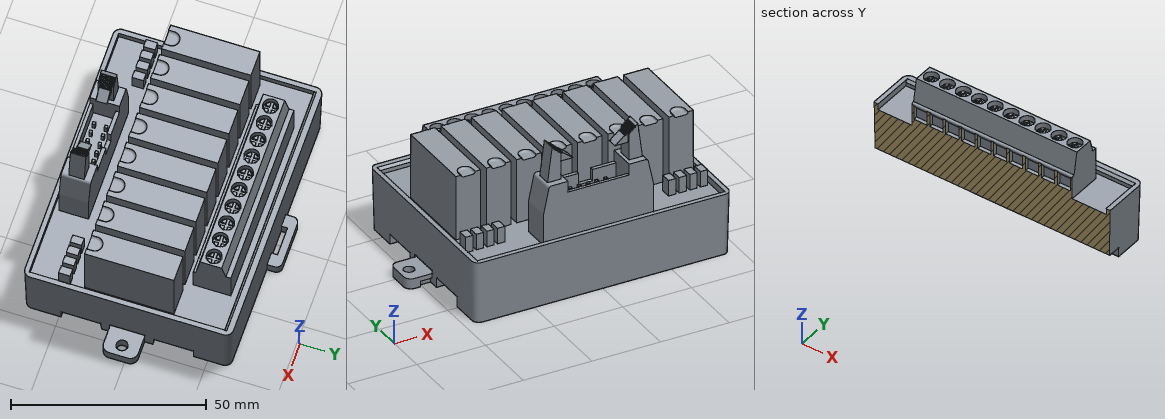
import cadquery as cq
import math

HOUSING_LENGTH = 74.9
HOUSING_WIDTH = 56.2
HOUSING_HEIGHT = 18.0
WALL_DRAFT = 0.35
CORNER_RADIUS = 2.0
TRAY_DEPTH = 1.9
TRAY_LENGTH = 72.1
TRAY_FRONT = -26.8
TRAY_BACK = 25.8
TRAY_LEAD_IN = 0.7
FLOOR_Z = HOUSING_HEIGHT - TRAY_DEPTH

BASE_THICKNESS = 3.0
CHANNEL_OUTER = 17.8
CHANNEL_INNER_TOP = 7.2
CHANNEL_INNER_BOTTOM = 6.9
TOTAL_LENGTH = 88.6
EAR_WIDTH = 9.4
EAR_CORNER = 2.1
EAR_HOLE_DIAMETER = 3.0
EAR_HOLE_X = 41.3
EAR_POCKET_X = 40.5
EAR_POCKET_HEIGHT = 1.7
EAR_POCKET_DEPTH = 0.9
EAR_RELIEF = 0.8
CLIP_WIDTH = 15.15
CLIP_END_Y = 31.45
CLIP_CORNER = 1.7
CLIP_SLOT_LENGTH = 8.1
CLIP_SLOT_END_Y = 29.4
BACK_HOOK_REACH = 1.9
BACK_HOOK_HEIGHT = 1.9
FRONT_HOOK_REACH = 2.7
FRONT_HOOK_TOP = 1.6
FRONT_HOOK_TIP = 0.8

RELAY_COUNT = 8
RELAY_PITCH = 8.9
RELAY_ROW_X = 0.3
RELAY_LENGTH = 7.2
RELAY_FRONT = -12.2
RELAY_BACK = 11.9
RELAY_TOP = 34.9
NOTCH_DIAMETER = 4.1
NOTCH_DEPTH = 0.7
NOTCH_CENTRE = 1.6

POLE_COUNT = 10
POLE_PITCH = 5.05
TERMINAL_LENGTH = 50.8
TERMINAL_TOP = 30.1
TERMINAL_BACK_STEP_Z = 26.05
TERMINAL_FRONT_STEP_Z = 23.4
TERMINAL_BACK = 24.0
TERMINAL_BACK_SHOULDER = 22.7
TERMINAL_TOP_BACK = 21.5
TERMINAL_TOP_FRONT = 15.8
TERMINAL_FRONT_SHOULDER = 14.5
TERMINAL_FRONT = 13.8
TERMINAL_FRONT_ROUND = 0.5
SCREW_Y = 18.6
SCREW_HOLE_DIAMETER = 4.1
SCREW_HOLE_DEPTH = 1.8
SCREW_HEAD_DIAMETER = 3.3
SCREW_HEAD_HEIGHT = 0.5
SCREW_SLOT_WIDTH = 0.8
WIRE_PORT_WIDTH = 4.0
WIRE_PORT_DEPTH = 1.1
WIRE_PORT_BOTTOM = 18.4
WIRE_PORT_TOP = 22.8
WIRE_PORT_INNER_TOP = 21.35

LAMPS_PER_GROUP = 4
LAMP_PITCH = 3.1
LAMP_INNERMOST_X = 24.9
LAMP_LENGTH = 2.1
LAMP_WIDTH = 3.1
LAMP_Y = -17.5
LAMP_TOP = 20.7

CONNECTOR_Y = -21.4
CONNECTOR_WIDTH = 8.0
CONNECTOR_HALF_BASE = 16.0
CONNECTOR_HALF_TOP = 14.35
CONNECTOR_TOP = 33.1
CONNECTOR_SLOPE_Z = 25.25
CONNECTOR_ROUND = 0.9
CAVITY_LENGTH = 17.8
CAVITY_FRONT = -24.5
CAVITY_BACK = -18.5
CAVITY_RIM_Z = 29.95
CAVITY_FLOOR_Z = 25.25
KEY_WIDTH = 4.1
KEY_FLOOR_Z = 26.6
CONTACT_COLUMNS = 5
CONTACT_PITCH = 2.6
CONTACT_ROW_SPACING = 3.3
CONTACT_SIZE = 0.8
CONTACT_TOP = 27.3

LATCH_WIDTH = 4.2
LATCH_TOP = 43.2
LATCH_FOOT_X = -13.8
LATCH_TIP_X = -12.5
LATCH_INNER_X = -9.9
HOOK_WIDTH = 3.0
HOOK_TIP_X = -6.1
HOOK_Z = 38.1
TOOTH_COUNT = 8
TOOTH_PITCH = 0.35
TOOTH_DEPTH = 0.35
FIRST_TOOTH_X = -11.8


def block(x_min, x_max, y_min, y_max, z_min, z_max):
    """Rectangular block between the given limits."""
    size = (x_max - x_min, y_max - y_min, z_max - z_min)
    return cq.Workplane("XY").box(*size, centered=False).translate((x_min, y_min, z_min))


def along_x(points, length):
    """Prism with a (y, z) outline, centred on X = 0."""
    return cq.Workplane("YZ").polyline(points).close().extrude(length / 2, both=True)


def along_y(points, y_centre, width):
    """Prism with an (x, z) outline, centred on y_centre."""
    prism = cq.Workplane("XZ").polyline(points).close().extrude(width / 2, both=True)
    return prism.translate((0, y_centre, 0))


def spread(count, pitch):
    """Positions of count items at an even pitch, centred on zero."""
    return [(i - (count - 1) / 2) * pitch for i in range(count)]


def both_ends(half):
    """The given half joined to its mirror image across X = 0."""
    return half.union(half.mirror("YZ"))


def shell():
    draft_angle = math.degrees(math.atan(WALL_DRAFT / HOUSING_HEIGHT))
    body = (
        cq.Workplane("XY", origin=(0, 0, HOUSING_HEIGHT))
        .rect(HOUSING_LENGTH, HOUSING_WIDTH)
        .extrude(-HOUSING_HEIGHT, taper=draft_angle)
        .edges("not (<Z or >Z)")
        .fillet(CORNER_RADIUS)
    )
    tray_outline = [
        (TRAY_FRONT, FLOOR_Z),
        (TRAY_BACK, FLOOR_Z),
        (TRAY_BACK, HOUSING_HEIGHT - TRAY_LEAD_IN),
        (TRAY_BACK + TRAY_LEAD_IN, HOUSING_HEIGHT),
        (TRAY_FRONT, HOUSING_HEIGHT),
    ]
    return body.cut(along_x(tray_outline, TRAY_LENGTH))


def rail_channels():
    channel = along_x(
        [
            (CHANNEL_OUTER, 0),
            (CHANNEL_OUTER, BASE_THICKNESS),
            (CHANNEL_INNER_TOP, BASE_THICKNESS),
            (CHANNEL_INNER_BOTTOM, 0),
        ],
        HOUSING_LENGTH,
    )
    return channel.union(channel.mirror("XZ"))


def rail_hooks():
    back_hook = along_x(
        [
            (CHANNEL_OUTER, 0),
            (CHANNEL_OUTER, BACK_HOOK_HEIGHT),
            (CHANNEL_OUTER - BACK_HOOK_REACH, BACK_HOOK_HEIGHT),
            (CHANNEL_OUTER - BACK_HOOK_REACH, BACK_HOOK_HEIGHT / 2),
            (CHANNEL_OUTER - BACK_HOOK_REACH / 2, 0),
        ],
        CLIP_WIDTH,
    )
    front_hook = along_x(
        [
            (-CHANNEL_OUTER, 0),
            (-CHANNEL_OUTER, FRONT_HOOK_TOP),
            (FRONT_HOOK_REACH - CHANNEL_OUTER, FRONT_HOOK_TOP),
            (FRONT_HOOK_REACH - CHANNEL_OUTER, FRONT_HOOK_TIP),
        ],
        CLIP_WIDTH,
    )
    return back_hook.union(front_hook)


def ear():
    """Screw ear at the -X end, with a pocket in its front side."""
    inner_x = -HOUSING_LENGTH / 2 + EAR_RELIEF
    half_width = EAR_WIDTH / 2
    plate = block(-TOTAL_LENGTH / 2, inner_x, -half_width, half_width, 0, BASE_THICKNESS)
    plate = plate.edges("|Z and <X").fillet(EAR_CORNER)
    hole = cq.Workplane("XY").circle(EAR_HOLE_DIAMETER / 2).extrude(BASE_THICKNESS)
    pocket = block(
        -EAR_POCKET_X, -HOUSING_LENGTH / 2 + WALL_DRAFT,
        -half_width, -half_width + EAR_POCKET_DEPTH,
        0, EAR_POCKET_HEIGHT,
    )
    return plate.cut(hole.translate((-EAR_HOLE_X, 0, 0))).cut(pocket)


def ear_relief():
    """Sloping recess in the -X wall just above the ear."""
    wall_x = -HOUSING_LENGTH / 2
    inner_x = wall_x + WALL_DRAFT + EAR_RELIEF
    outline = [
        (wall_x, BASE_THICKNESS),
        (inner_x, BASE_THICKNESS),
        (inner_x - EAR_RELIEF, BASE_THICKNESS + EAR_RELIEF),
        (wall_x, BASE_THICKNESS + EAR_RELIEF),
    ]
    return along_y(outline, 0, EAR_WIDTH)


def clip_tab():
    """Slotted tab behind the back wall."""
    wall_y = HOUSING_WIDTH / 2 - WALL_DRAFT
    half_width = CLIP_WIDTH / 2
    half_slot = CLIP_SLOT_LENGTH / 2
    tab = block(-half_width, half_width, wall_y - WALL_DRAFT, CLIP_END_Y, 0, BASE_THICKNESS)
    tab = tab.edges("|Z and >Y").fillet(CLIP_CORNER)
    return tab.cut(block(-half_slot, half_slot, wall_y, CLIP_SLOT_END_Y, 0, BASE_THICKNESS))


def relay(x_centre):
    """Relay with a round-ended finger notch in its top front edge."""
    half_length = RELAY_LENGTH / 2
    body = block(-half_length, half_length, RELAY_FRONT, RELAY_BACK, FLOOR_Z, RELAY_TOP)
    notch_y = RELAY_FRONT + NOTCH_CENTRE
    radius = NOTCH_DIAMETER / 2
    notch = (
        cq.Workplane("XY")
        .moveTo(radius, RELAY_FRONT - NOTCH_DIAMETER)
        .lineTo(radius, notch_y)
        .threePointArc((0, notch_y + radius), (-radius, notch_y))
        .lineTo(-radius, RELAY_FRONT - NOTCH_DIAMETER)
        .close()
        .extrude(2 * NOTCH_DEPTH)
        .faces("<Z")
        .edges()
        .fillet(NOTCH_DEPTH)
        .translate((0, 0, RELAY_TOP - NOTCH_DEPTH))
    )
    return body.cut(notch).translate((x_centre, 0, 0))


def terminal_screw():
    """Recess around a cross-slotted screw head, as the material to remove at X = 0."""
    recess = cq.Workplane("XY").circle(SCREW_HOLE_DIAMETER / 2).extrude(SCREW_HOLE_DEPTH)
    head = cq.Workplane("XY").circle(SCREW_HEAD_DIAMETER / 2).extrude(SCREW_HEAD_HEIGHT)
    slot = cq.Workplane("XY").rect(SCREW_HEAD_DIAMETER, SCREW_SLOT_WIDTH).extrude(SCREW_HEAD_HEIGHT)
    cross = slot.union(slot.rotate((0, 0, 0), (0, 0, 1), 90))
    return recess.cut(head.cut(cross)).translate((0, SCREW_Y, TERMINAL_TOP - SCREW_HOLE_DEPTH))


def wire_port():
    """Wire opening in the front of one pole, its roof sloping down inwards."""
    outline = [
        (TERMINAL_FRONT, WIRE_PORT_BOTTOM),
        (TERMINAL_FRONT, WIRE_PORT_TOP),
        (TERMINAL_FRONT + WIRE_PORT_DEPTH, WIRE_PORT_INNER_TOP),
        (TERMINAL_FRONT + WIRE_PORT_DEPTH, WIRE_PORT_BOTTOM),
    ]
    return along_x(outline, WIRE_PORT_WIDTH)


def terminal_block():
    body = along_x(
        [
            (TERMINAL_BACK, FLOOR_Z),
            (TERMINAL_BACK, TERMINAL_BACK_STEP_Z),
            (TERMINAL_BACK_SHOULDER, TERMINAL_BACK_STEP_Z),
            (TERMINAL_TOP_BACK, TERMINAL_TOP),
            (TERMINAL_TOP_FRONT, TERMINAL_TOP),
            (TERMINAL_FRONT_SHOULDER, TERMINAL_FRONT_STEP_Z),
            (TERMINAL_FRONT, TERMINAL_FRONT_STEP_Z),
            (TERMINAL_FRONT, FLOOR_Z),
        ],
        TERMINAL_LENGTH,
    )
    body = body.faces("<Y").edges(">Z").fillet(TERMINAL_FRONT_ROUND)
    pole_cut = terminal_screw().union(wire_port())
    for x in spread(POLE_COUNT, POLE_PITCH):
        body = body.cut(pole_cut.translate((x, 0, 0)))
    return body


def lamps():
    """Lamp group at the +X end."""
    group = cq.Workplane("XY")
    for i in range(LAMPS_PER_GROUP):
        lamp = cq.Workplane("XY").rect(LAMP_LENGTH, LAMP_WIDTH).extrude(LAMP_TOP - FLOOR_Z)
        group = group.add(lamp.translate((LAMP_INNERMOST_X + i * LAMP_PITCH, LAMP_Y, FLOOR_Z)))
    return group.combine()


def contacts():
    height = CONTACT_TOP - CAVITY_FLOOR_Z
    pins = cq.Workplane("XY")
    for x in spread(CONTACT_COLUMNS, CONTACT_PITCH):
        for y in spread(2, CONTACT_ROW_SPACING):
            pin = cq.Workplane("XY").rect(CONTACT_SIZE, CONTACT_SIZE).extrude(height)
            pins = pins.add(pin.translate((x, CONNECTOR_Y + y, CAVITY_FLOOR_Z)))
    return pins.combine()


def connector():
    body = along_y(
        [
            (-CONNECTOR_HALF_BASE, FLOOR_Z),
            (-CONNECTOR_HALF_BASE, CONNECTOR_SLOPE_Z),
            (-CONNECTOR_HALF_TOP, CONNECTOR_TOP),
            (CONNECTOR_HALF_TOP, CONNECTOR_TOP),
            (CONNECTOR_HALF_BASE, CONNECTOR_SLOPE_Z),
            (CONNECTOR_HALF_BASE, FLOOR_Z),
        ],
        CONNECTOR_Y,
        CONNECTOR_WIDTH,
    )
    body = body.faces(">Z").edges("|Y").fillet(CONNECTOR_ROUND)
    front = CONNECTOR_Y - CONNECTOR_WIDTH / 2
    back = CONNECTOR_Y + CONNECTOR_WIDTH / 2
    half_cavity = CAVITY_LENGTH / 2
    half_key = KEY_WIDTH / 2
    body = body.cut(block(-half_cavity, half_cavity, front, back, CAVITY_RIM_Z, CONNECTOR_TOP))
    body = body.cut(
        block(-half_cavity, half_cavity, CAVITY_FRONT, CAVITY_BACK, CAVITY_FLOOR_Z, CAVITY_RIM_Z)
    )
    body = body.cut(block(-half_key, half_key, CAVITY_BACK, back, KEY_FLOOR_Z, CAVITY_RIM_Z))
    return body.union(contacts())


def relay_module():
    """Housing with all the parts fixed on its tray floor."""
    module = shell().cut(rail_channels())
    module = module.cut(both_ends(ear_relief()))
    module = module.union(both_ends(ear())).union(clip_tab()).union(rail_hooks())
    for x in spread(RELAY_COUNT, RELAY_PITCH):
        module = module.union(relay(RELAY_ROW_X + x))
    module = module.union(terminal_block()).union(both_ends(lamps()))
    return module.union(connector())


def latch():
    """Latch at the -X end of the connector: toothed arm with a narrower hook."""
    slope = (HOOK_Z - LATCH_TOP) / (HOOK_TIP_X - LATCH_TIP_X)

    def slope_z(x):
        return LATCH_TOP + slope * (x - LATCH_TIP_X)

    arm = along_y(
        [
            (LATCH_FOOT_X, CONNECTOR_TOP),
            (LATCH_TIP_X, LATCH_TOP),
            (LATCH_INNER_X, slope_z(LATCH_INNER_X)),
            (LATCH_INNER_X, CONNECTOR_TOP),
        ],
        CONNECTOR_Y,
        LATCH_WIDTH,
    )
    hook = along_y(
        [
            (LATCH_INNER_X, HOOK_Z),
            (LATCH_INNER_X, slope_z(LATCH_INNER_X)),
            (HOOK_TIP_X, HOOK_Z),
        ],
        CONNECTOR_Y,
        HOOK_WIDTH,
    )
    body = arm.union(hook)
    for i in range(TOOTH_COUNT):
        start = FIRST_TOOTH_X + i * TOOTH_PITCH
        end = start + TOOTH_PITCH
        tooth_gap = [
            (start, slope_z(start)),
            (start, slope_z(start) - TOOTH_DEPTH),
            (end, slope_z(end)),
        ]
        body = body.cut(along_y(tooth_gap, CONNECTOR_Y, LATCH_WIDTH))
    return body


module = relay_module()
left_latch = latch()
latches = [left_latch, left_latch.mirror("YZ")]

result = cq.Compound.makeCompound([module.val(), *[item.val() for item in latches]])